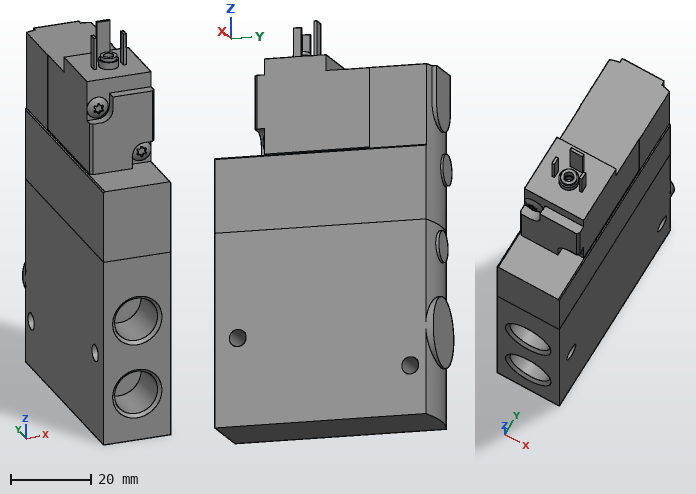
import cadquery as cq
import math

WIDTH = 18.0
LENGTH = 57.0
BACK_Y = LENGTH / 2
FRONT_Y = -BACK_Y
CROWN_APEX_Y = 27.9
CROWN_EDGE_Y = 26.5
BASE_TOP = 50.0
SHOULDER_TOP = 69.2
HEAD_TOP = 89.9
CONNECTOR_BLOCK_TOP = 93.9
TALL_PIN_TOP = 104.5
SHORT_PIN_TOP = 102.4

PORT_DIAMETER = 11.5
PORT_MOUTH_DIAMETER = 13.2
PORT_DEPTH = 12.5
PORT_HEIGHTS = (12.6, 32.6)
MOUNT_DIAMETER = 4.4
MOUNT_POINTS = ((-22.5, 22.7), (22.5, 12.6))
LARGE_BOSS_DIAMETER = 18.1
LARGE_BOSS_Z = 22.7
SMALL_BOSS_DIAMETER = 8.0
BASE_BOSS_Z = 44.7

SHOULDER_CHAMFER = 0.3
HEAD_WIDTH = WIDTH - 2 * SHOULDER_CHAMFER
SOLENOID_INSET = 0.1
SOLENOID_WIDTH = HEAD_WIDTH - 2 * SOLENOID_INSET
SOLENOID_BACK_Y = 11.7
SOLENOID_GAP = 0.3
SOLENOID_BOTTOM = SHOULDER_TOP + SOLENOID_GAP
CONNECTOR_BLOCK_BACK_Y = 0.4
CONNECTOR_BLOCK_FRONT_Y = -15.7
COVER_SETBACK = 10.2
COVER_FRONT_Y = FRONT_Y + COVER_SETBACK
COVER_CHAMFER = 0.6
PAD_RADIUS = 6.1
PAD_CENTRE_Z = 80.3
UPPER_BOSS_X = -3.5
UPPER_BOSS_Z = SHOULDER_TOP - SMALL_BOSS_DIAMETER / 2

SCREW_X = 5.7
UPPER_SCREW_Z = 86.4
LOWER_SCREW_Z = 72.9
NOTCH_RADIUS = 3.1
SCREW_RADIUS = 2.8
SCREW_HEIGHT = 1.0
LOBE_COUNT = 6
LOBE_RADIUS = 0.3
LOBE_CIRCLE_RADIUS = 1.0
SOCKET_CORE_DIAMETER = 1.9
SOCKET_DEPTH = 0.6

CONNECTOR_Y = -8.4
COLLAR_DIAMETER = 5.0
COLLAR_TOP = 95.8
RIM_DIAMETER = 4.2
RIM_TOP = 96.8
SCREW_HOLE_DIAMETER = 2.0
SCREW_HOLE_MOUTH = 2.5
SCREW_HOLE_MOUTH_DEPTH = 2.1
SCREW_HOLE_DEPTH = 4.2
PIN_THICKNESS = 0.7
SHORT_PIN_X = 4.0
SHORT_PIN_WIDTH = 2.0
TALL_PIN_Y = -4.4
TALL_PIN_WIDTH = 3.6


def box(width, front_y, back_y, bottom, top, centre_x=0.0):
    """Box centred on centre_x, between two Y planes and two heights."""
    block = cq.Workplane("XY").box(width, back_y - front_y, top - bottom, centered=(True, False, False))
    return block.translate((centre_x, front_y, bottom))


def crowned_block(bottom, top):
    """Full-width block with a flat front and a crowned back."""
    half = WIDTH / 2
    return (
        cq.Workplane("XY", origin=(0, 0, bottom))
        .moveTo(-half, FRONT_Y)
        .lineTo(half, FRONT_Y)
        .lineTo(half, CROWN_EDGE_Y)
        .threePointArc((0, CROWN_APEX_Y), (-half, CROWN_EDGE_Y))
        .close()
        .extrude(top - bottom)
    )


def cylinder_along_y(diameter, x, z, front_y, back_y):
    """Cylinder running in +Y from front_y to back_y."""
    plane = cq.Workplane("XZ", origin=(x, front_y, z))
    return plane.circle(diameter / 2).extrude(front_y - back_y)


def back_boss(diameter, x, z):
    """Round raised boss on the crowned back, rooted inside the block."""
    return cylinder_along_y(diameter, x, z, CROWN_EDGE_Y, BACK_Y)


def port(z):
    """Blind port in the front face with a 45 degree mouth."""
    mouth_depth = (PORT_MOUTH_DIAMETER - PORT_DIAMETER) / 2
    bore = cylinder_along_y(PORT_DIAMETER, 0, z, FRONT_Y, FRONT_Y + PORT_DEPTH)
    mouth = cq.Solid.makeCone(
        PORT_MOUTH_DIAMETER / 2, PORT_DIAMETER / 2, mouth_depth,
        pnt=cq.Vector(0, FRONT_Y, z), dir=cq.Vector(0, 1, 0),
    )
    return bore.union(cq.Workplane(mouth))


def make_base():
    base = crowned_block(0, BASE_TOP)
    large_boss = back_boss(LARGE_BOSS_DIAMETER, 0, LARGE_BOSS_Z)
    base = base.union(large_boss.intersect(box(WIDTH, FRONT_Y, BACK_Y, 0, BASE_TOP)))
    base = base.union(back_boss(SMALL_BOSS_DIAMETER, 0, BASE_BOSS_Z))
    for z in PORT_HEIGHTS:
        base = base.cut(port(z))
    mount_holes = (
        cq.Workplane("YZ", origin=(-WIDTH / 2, 0, 0))
        .pushPoints(MOUNT_POINTS)
        .circle(MOUNT_DIAMETER / 2)
        .extrude(WIDTH)
    )
    return base.cut(mount_holes)


def cover_notch(side, screw_z, end_z):
    """Corner recess round a cover screw, open to one side and to the height end_z."""
    screw_x = side * SCREW_X
    outer_x = side * WIDTH / 2
    inner_x = screw_x - side * NOTCH_RADIUS
    end_direction = math.copysign(1, end_z - screw_z)
    inner_z = screw_z - end_direction * NOTCH_RADIUS
    diagonal = NOTCH_RADIUS / math.sqrt(2)
    middle = (screw_x - side * diagonal, screw_z - end_direction * diagonal)
    return (
        cq.Workplane("XZ", origin=(0, CONNECTOR_BLOCK_FRONT_Y, 0))
        .moveTo(outer_x, end_z)
        .lineTo(inner_x, end_z)
        .lineTo(inner_x, screw_z)
        .threePointArc(middle, (screw_x, inner_z))
        .lineTo(outer_x, inner_z)
        .close()
        .extrude(CONNECTOR_BLOCK_FRONT_Y - COVER_FRONT_Y)
    )


def cover_screw_head(x, z):
    """Domed screw head with a six-lobed socket, facing -Y."""
    half_radius = SCREW_RADIUS / 2
    dome_radius = (SCREW_RADIUS**2 + SCREW_HEIGHT**2) / (2 * SCREW_HEIGHT)
    middle_height = SCREW_HEIGHT - dome_radius + math.sqrt(dome_radius**2 - half_radius**2)
    head = (
        cq.Workplane("XY")
        .lineTo(SCREW_RADIUS, 0)
        .threePointArc((half_radius, -middle_height), (0, -SCREW_HEIGHT))
        .close()
        .revolve(360, (0, 0, 0), (0, 1, 0))
    )
    socket_plane = cq.Workplane("XZ", origin=(0, -SCREW_HEIGHT, 0))
    socket = socket_plane.circle(SOCKET_CORE_DIAMETER / 2).extrude(-SOCKET_DEPTH)
    lobes = (
        socket_plane.polarArray(LOBE_CIRCLE_RADIUS, 90, 360, LOBE_COUNT)
        .circle(LOBE_RADIUS)
        .extrude(-SOCKET_DEPTH)
    )
    return head.cut(socket).cut(lobes).translate((x, CONNECTOR_BLOCK_FRONT_Y, z))


def make_solenoid():
    """Solenoid housing with its raised connector block and screwed front cover."""
    housing = box(SOLENOID_WIDTH, COVER_FRONT_Y, SOLENOID_BACK_Y, SOLENOID_BOTTOM, HEAD_TOP)
    housing = housing.faces("<Y").edges("|Z").chamfer(COVER_CHAMFER)
    connector_block = box(
        SOLENOID_WIDTH, CONNECTOR_BLOCK_FRONT_Y, CONNECTOR_BLOCK_BACK_Y,
        SOLENOID_BOTTOM, CONNECTOR_BLOCK_TOP,
    )
    housing = housing.union(connector_block)
    housing = housing.cut(cover_notch(-1, UPPER_SCREW_Z, HEAD_TOP))
    housing = housing.cut(cover_notch(1, LOWER_SCREW_Z, SOLENOID_BOTTOM))
    housing = housing.union(cover_screw_head(-SCREW_X, UPPER_SCREW_Z))
    return housing.union(cover_screw_head(SCREW_X, LOWER_SCREW_Z))


def make_connector():
    """Contact pins and screw collar standing on the connector block."""
    pins = box(
        TALL_PIN_WIDTH, TALL_PIN_Y - PIN_THICKNESS / 2, TALL_PIN_Y + PIN_THICKNESS / 2,
        CONNECTOR_BLOCK_TOP, TALL_PIN_TOP,
    )
    half = SHORT_PIN_WIDTH / 2
    for side in (-1, 1):
        pins = pins.union(box(
            PIN_THICKNESS, CONNECTOR_Y - half, CONNECTOR_Y + half,
            CONNECTOR_BLOCK_TOP, SHORT_PIN_TOP, side * SHORT_PIN_X,
        ))
    seat = cq.Workplane("XY", origin=(0, CONNECTOR_Y, CONNECTOR_BLOCK_TOP))
    collar = seat.circle(COLLAR_DIAMETER / 2).extrude(COLLAR_TOP - CONNECTOR_BLOCK_TOP)
    rim = seat.circle(RIM_DIAMETER / 2).extrude(RIM_TOP - CONNECTOR_BLOCK_TOP)
    return pins.union(collar).union(rim)


def screw_hole():
    """Blind, stepped connector screw hole."""
    top = cq.Workplane("XY", origin=(0, CONNECTOR_Y, RIM_TOP))
    hole = top.circle(SCREW_HOLE_DIAMETER / 2).extrude(-SCREW_HOLE_DEPTH)
    mouth = top.circle(SCREW_HOLE_MOUTH / 2).extrude(-SCREW_HOLE_MOUTH_DEPTH)
    return hole.union(mouth)


def back_pad():
    """Raised pad on the back of the head with a round lower end."""
    pad = box(2 * PAD_RADIUS, CROWN_EDGE_Y, BACK_Y, PAD_CENTRE_Z, HEAD_TOP)
    return pad.union(back_boss(2 * PAD_RADIUS, 0, PAD_CENTRE_Z))


def make_upper_body():
    body = crowned_block(BASE_TOP, SHOULDER_TOP)
    body = body.faces(">Z").edges("|Y").chamfer(SHOULDER_CHAMFER)
    head = box(HEAD_WIDTH, SOLENOID_BACK_Y, BACK_Y, SHOULDER_TOP, HEAD_TOP)
    body = body.union(head.intersect(crowned_block(SHOULDER_TOP, HEAD_TOP)))
    body = body.union(back_pad())
    body = body.union(back_boss(SMALL_BOSS_DIAMETER, UPPER_BOSS_X, UPPER_BOSS_Z))
    body = body.union(make_solenoid()).union(make_connector())
    return body.cut(screw_hole())


base = make_base()
upper_body = make_upper_body()
result = cq.Compound.makeCompound([base.val(), upper_body.val()])